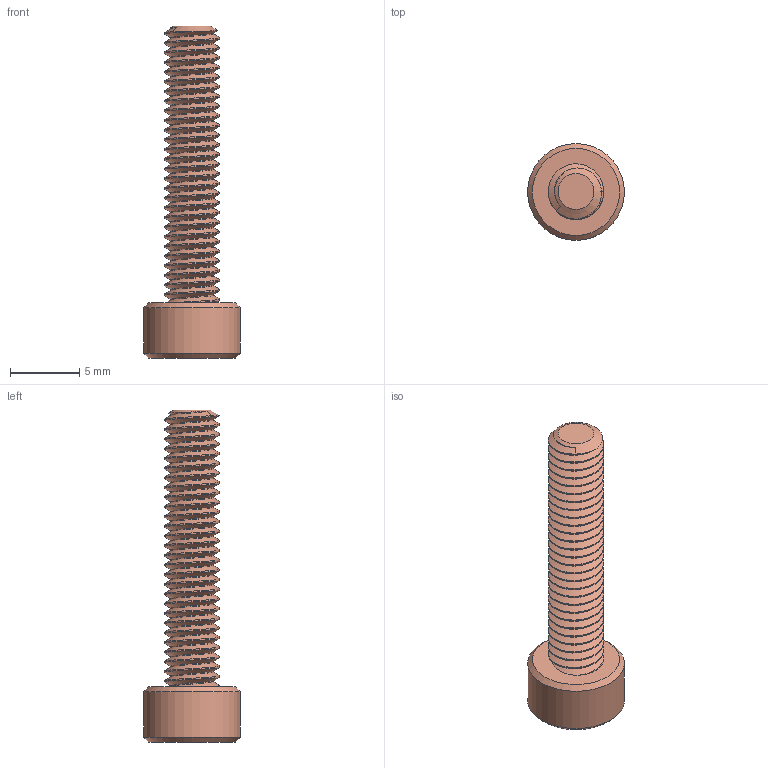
import cadquery as cq
import math

HEAD_DIAMETER = 7.0
HEAD_HEIGHT = 4.0
HEAD_CHAMFER = 0.35
THREAD_DIAMETER = 4.0
SHANK_LENGTH = 20.0
PITCH = 0.7
TIP_FLAT_DIAMETER = 2.6
TIP_CHAMFER_ANGLE = math.radians(30)
FIRST_CREST_HEIGHT = 0.215

FLANK_ANGLE = math.radians(30)
FLAT_WIDTH = PITCH / 8
FLANK_WIDTH = PITCH / 2 - FLAT_WIDTH
THREAD_DEPTH = FLANK_WIDTH / math.tan(FLANK_ANGLE)

OVERALL_LENGTH = HEAD_HEIGHT + SHANK_LENGTH
CREST_RADIUS = THREAD_DIAMETER / 2
ROOT_RADIUS = CREST_RADIUS - THREAD_DEPTH
TIP_FLAT_RADIUS = TIP_FLAT_DIAMETER / 2
END_STUB = PITCH
TRIM_MARGIN = 0.5
OVERRUN_TURNS = 2


def make_head():
    """Cylindrical head, chamfered at both rims."""
    head = cq.Workplane("XY").circle(HEAD_DIAMETER / 2).extrude(HEAD_HEIGHT)
    return head.edges("%CIRCLE").chamfer(HEAD_CHAMFER)


def make_helix(radius, height):
    """One right-hand turn that starts on the +X side at the given height."""
    return cq.Wire.makeHelix(PITCH, PITCH, radius, center=cq.Vector(0, 0, height))


def make_end_faces(root_helix, end_height):
    """Flat disc and the wall that joins it to the root helix at one end of the thread."""
    rim = cq.Wire.makeCircle(ROOT_RADIUS, cq.Vector(0, 0, end_height), cq.Vector(0, 0, 1))
    return [cq.Face.makeFromWires(rim), cq.Face.makeRuledSurface(rim, root_helix)]


def make_thread():
    """Right-hand threaded rod whose ends overrun the shank and are trimmed later."""
    first_ridge_bottom = HEAD_HEIGHT + FIRST_CREST_HEIGHT - FLAT_WIDTH / 2 - FLANK_WIDTH
    start_height = first_ridge_bottom - OVERRUN_TURNS * PITCH
    crest_start = start_height + FLANK_WIDTH
    crest_end = crest_start + FLAT_WIDTH
    root_start = crest_end + FLANK_WIDTH
    ridge = [
        (ROOT_RADIUS, start_height),
        (CREST_RADIUS, crest_start),
        (CREST_RADIUS, crest_end),
        (ROOT_RADIUS, root_start),
    ]
    next_ridge_start = (ROOT_RADIUS, start_height + PITCH)
    helices = [make_helix(radius, height) for radius, height in [*ridge, next_ridge_start]]
    helical_faces = [cq.Face.makeRuledSurface(lower, upper) for lower, upper in zip(helices, helices[1:])]
    ridge_outline = [cq.Vector(radius, 0, height) for radius, height in ridge]
    ridge_end = cq.Face.makeFromWires(cq.Wire.makePolygon(ridge_outline, close=True))

    turns = math.ceil(SHANK_LENGTH / PITCH) + 2 * OVERRUN_TURNS
    thread_rise = cq.Vector(0, 0, turns * PITCH)
    bottom_helix = helices[0]
    top_helix = bottom_helix.translate(thread_rise)
    top_helix_end = start_height + (turns + 1) * PITCH
    faces = make_end_faces(bottom_helix, start_height - END_STUB)
    faces += make_end_faces(top_helix, top_helix_end + END_STUB)
    faces += [ridge_end, ridge_end.translate(thread_rise)]
    for turn in range(turns):
        rise = cq.Vector(0, 0, turn * PITCH)
        faces += [face.translate(rise) for face in helical_faces]
    return cq.Workplane(obj=cq.Solid.makeSolid(cq.Shell.makeShell(faces)))


def make_tip_trim():
    """Body that cuts the rod to length and chamfers its tip, leaving the rest whole."""
    trim_radius = CREST_RADIUS + TRIM_MARGIN
    cone_height = (trim_radius - TIP_FLAT_RADIUS) * math.tan(TIP_CHAMFER_ANGLE)
    return (
        cq.Workplane("XZ")
        .moveTo(0, HEAD_HEIGHT - TRIM_MARGIN)
        .lineTo(trim_radius, HEAD_HEIGHT - TRIM_MARGIN)
        .lineTo(trim_radius, OVERALL_LENGTH - cone_height)
        .lineTo(TIP_FLAT_RADIUS, OVERALL_LENGTH)
        .lineTo(0, OVERALL_LENGTH)
        .close()
        .revolve(360, (0, 0, 0), (0, 1, 0))
    )


threaded_shank = make_thread().intersect(make_tip_trim())
result = make_head().union(threaded_shank)